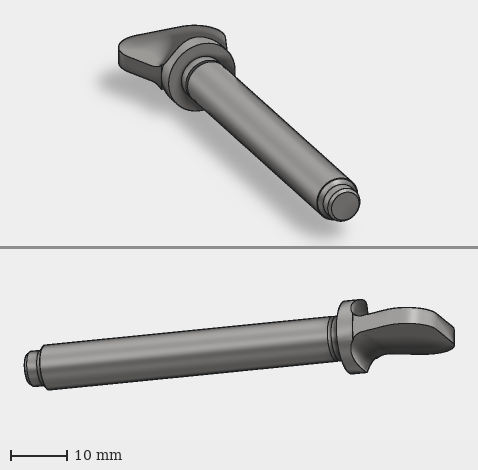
import cadquery as cq
import math

length = 78.0

plate_width = 19.8
plate_thickness = 3.0
plate_corner_radius = 5.5

collar_diameter = 13.0
collar_start = 15.0
collar_end = 18.0

flare_radius = 3.0

shaft_diameter = 8.0
groove_start = 19.9
groove_width = 0.7
groove_depth = 0.85

tip_diameter = 6.3
tip_chamfer_length = 0.6
tip_chamfer_depth = 0.5
tip_length = 2.5

cone_length = 0.85
cone_rise = 0.7

collar_radius = collar_diameter / 2
shaft_radius = shaft_diameter / 2
tip_radius = tip_diameter / 2
tip_start = length - tip_length
cone_start = tip_start - cone_length


def make_turned_body():
    """Collar, grooved shaft and chamfered tip as one revolved profile."""
    profile = (
        cq.Workplane("XY")
        .moveTo(collar_start, 0)
        .lineTo(collar_start, collar_radius)
        .lineTo(collar_end, collar_radius)
        .lineTo(collar_end, shaft_radius)
        .lineTo(groove_start, shaft_radius)
        .lineTo(groove_start, shaft_radius - groove_depth)
        .lineTo(groove_start + groove_width, shaft_radius)
        .lineTo(cone_start, shaft_radius)
        .lineTo(cone_start, tip_radius + cone_rise)
        .lineTo(tip_start, tip_radius)
        .lineTo(length - tip_chamfer_length, tip_radius)
        .lineTo(length, tip_radius - tip_chamfer_depth)
        .lineTo(length, 0)
        .close()
    )
    return profile.revolve(360, (0, 0, 0), (1, 0, 0))


def make_plate_blank():
    """Plate outline, as tall as the collar, with sides tangent to its corners."""
    radius = plate_corner_radius
    center_x = radius
    center_y = plate_width / 2 - radius

    run = collar_start - center_x
    rise = collar_radius - center_y
    tangent_angle = math.atan2(rise, run) + math.acos(radius / math.hypot(run, rise))
    middle_angle = (tangent_angle + math.pi) / 2

    def corner_point(angle, side):
        x = center_x + radius * math.cos(angle)
        y = center_y + radius * math.sin(angle)
        return (x, side * y)

    outline = (
        cq.Workplane("XY")
        .moveTo(0, -center_y)
        .lineTo(0, center_y)
        .threePointArc(corner_point(middle_angle, 1), corner_point(tangent_angle, 1))
        .lineTo(collar_start, collar_radius)
        .lineTo(collar_start, -collar_radius)
        .lineTo(*corner_point(tangent_angle, -1))
        .threePointArc(corner_point(middle_angle, -1), (0, -center_y))
        .close()
    )
    return outline.extrude(collar_radius, both=True)


def make_flare_cutter(side):
    """Space above (side = 1) or below (side = -1) the plate, ending in the flare."""
    flare_height = plate_thickness / 2 + flare_radius
    overhang = math.sqrt(flare_radius**2 - (collar_radius - flare_height) ** 2)
    flare_center_x = collar_start - overhang
    profile = (
        cq.Workplane("XZ")
        .moveTo(0, side * plate_thickness / 2)
        .lineTo(flare_center_x, side * plate_thickness / 2)
        .threePointArc(
            (flare_center_x + flare_radius, side * flare_height),
            (collar_start, side * collar_radius),
        )
        .lineTo(0, side * collar_radius)
        .close()
    )
    return profile.extrude(plate_width, both=True)


result = make_turned_body().union(make_plate_blank())
for side in (1, -1):
    result = result.cut(make_flare_cutter(side))